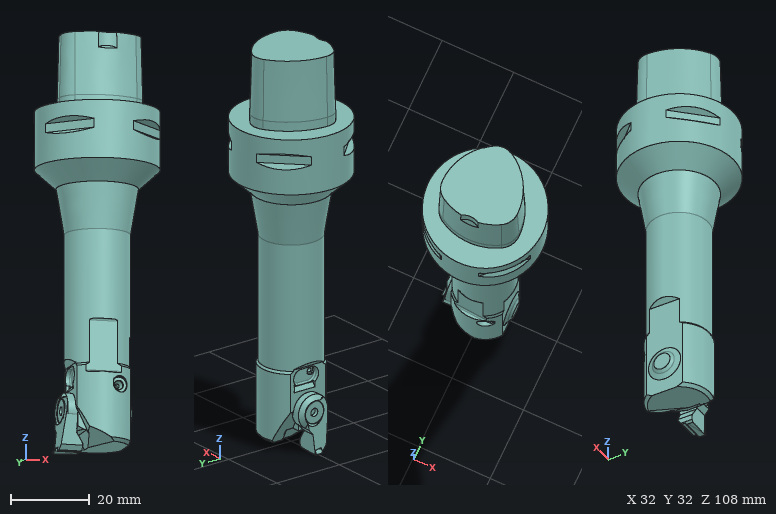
import cadquery as cq
import math


TAPER_LENGTH = 19.0
TAPER_COLLAR = 2.5
LOBE_OFFSET = 6.4
LOBE_RADIUS = 5.4
TAPER_SHRINK = 0.4
NOTCH_RADIUS = 4.9
NOTCH_WALL_Y = -8.9
NOTCH_FLOOR_Z = 14.4
NOTCH_FLOOR_ANGLE = 45

FLANGE_DIAMETER = 32.0
FLANGE_RADIUS = FLANGE_DIAMETER / 2
FLANGE_HEIGHT = 15.0
CONE_HEIGHT = 5.0
CONE_END_RADIUS = 10.5
NECK_HEIGHT = 11.9
SHANK_RADIUS = 17.0 / 2
NECK_TOP_Z = -FLANGE_HEIGHT - CONE_HEIGHT
SHANK_TOP_Z = NECK_TOP_Z - NECK_HEIGHT

GRIP_SLOT_Z = -6.0
GRIP_SLOT_COUNT = 4
GRIP_FLOOR_HEIGHT = 2.3
GRIP_MOUTH_HEIGHT = 4.3
GRIP_FLOOR_DISTANCE = 14.4

HEAD_RADIUS = 9.0
HEAD_TOP_Z = -66.4
HEAD_BEVEL = 0.6
HEAD_BOTTOM_Z = -86.6
HEAD_CHAMFER = 0.9
BACK_FLAT_X = 7.2
BACK_FLAT_TOP_Z = -57.9
SEAT_X = -7.0
SEAT_TOP_Z = -66.1
SIDE_FLAT_DISTANCE = 7.7
SIDE_FLAT_ANGLE = -4
SIDE_FLAT_TOP_Z = -55.1
SIDE_FLAT_BOTTOM_Z = -68.9
SIDE_FLAT_FILLET = 0.4
CUT_SIZE = 43.2

RELIEF_TOP_Z = -77.5
RELIEF_BOTTOM_X = -2.6
LUG_BOTTOM_Z = -83.4
LUG_Y_RANGE = (-5.0, 2.7)
LUG_FACE_X = -6.5
CLEARANCE_HALF_WIDTH = 4.8
CLEARANCE_TOP_X = -4.1
CLEARANCE_BOTTOM_X = -1.9
GULLET_POINT = (-4.2, -7.8, -83.2)
GULLET_NORMAL = (-0.47, -0.2, -0.86)

POCKET_Y = 0.6
POCKET_Z = -68.8
POCKET_LENGTH = 8.0
POCKET_HEIGHT = 4.6
POCKET_DEPTH = 1.5
POCKET_FILLET = 0.4
RAMP_Y_RANGE = (-2.2, 4.4)
RAMP_TOP_Z = -71.2
RAMP_BOTTOM_Z = -72.4
RAMP_DEPTH = 0.9
RAMP_OVERLAP = 0.8
OUTLET_Y = -1.9
OUTLET_Z = -68.4
OUTLET_DIAMETER = 2.2
OUTLET_MOUTH_DEPTH = 0.5
OUTLET_BORE_DIAMETER = 1.1
OUTLET_DEPTH = 3.2
PORT_X = 3.8
PORT_Z = -71.7
PORT_MOUTH_DIAMETER = 4.2
PORT_DIAMETER = 4.0
PORT_BORE_DIAMETER = 2.4
PORT_TIP_DIAMETER = 1.1
PORT_MOUTH_Y = -6.9
PORT_FLOOR_Y = -6.6
PORT_CONE_Y = -6.0
PORT_TIP_Y = -5.0
PORT_END_Y = -3.2

CLAMP_Z = -78.0
DISC_DIAMETER = 9.4
DISC_RADIUS = DISC_DIAMETER / 2
DISC_BEVEL_X = -9.1
DISC_FRONT_X = -10.4
DISC_FRONT_RADIUS = 3.2
COUNTERSINK_X = -9.8
FACE_X = -9.8
FACE_TOP_Z = -74.7
FACE_TILT_Z = 0.11
FACE_TILT_Y = 0.12
LEG_Y = (-3.2, 1.2)
LEG_NARROW_Z = -83.5
LEG_FLARE = (2.5, -82.0)
LEG_CORNER_Z = -87.2
LEG_CORNER_Y = -2.2
LEG_BOTTOM_Z = -88.5
HEEL_TOP_Z = -84.0
HEEL_SHOULDER_Z = -86.7
HEEL_X = -4.8
HEEL_BOTTOM_Z = -88.2
HEEL_BEVEL = 0.5
EDGE_Y = (-1.2, 0.9)
EDGE_BOTTOM_Z = -89.0
EDGE_RISE = 0.3
LIP_ROOT_X = -10.4
LIP_TOP_Z = -87.4
LIP_SHOULDER = (-10.9, -87.7)
LIP_TIP = (-11.7, -88.7)
LIP_HEEL_X = -11.5

SCREW_DIAMETER = 6.0
SCREW_END_X = -9.6
SOCKET_DIAMETER = 2.2
SOCKET_DEPTH = 1.1
SCREW_HEAD_RADIUS = 4.8
SCREW_HEAD_STEP = (7.9, 3.2)
SCREW_HEAD_TOP = (8.5, 2.4)


def box(x_range, y_range, z_range):
    """Axis-aligned block between the given limits."""
    size_x, size_y, size_z = (limits[1] - limits[0] for limits in (x_range, y_range, z_range))
    block = cq.Workplane("XY").box(size_x, size_y, size_z, centered=False)
    return block.translate((x_range[0], y_range[0], z_range[0]))


def half_space(point, outward_normal):
    """Large block on the outer side of a plane."""
    plane = cq.Plane(origin=point, normal=outward_normal)
    return cq.Workplane(plane).rect(CUT_SIZE, CUT_SIZE).extrude(CUT_SIZE)


def rod_x(diameter, x_start, x_end, y, z):
    """Cylinder along X."""
    plane = cq.Workplane("YZ", origin=(x_start, y, z))
    return plane.circle(diameter / 2).extrude(x_end - x_start)


def clamp_revolve(points):
    """Solid of revolution about the clamping axis from (X, radius) points."""
    profile = cq.Workplane("XZ", origin=(0, 0, CLAMP_Z)).polyline(points).close()
    return profile.revolve(360, (0, 0, 0), (1, 0, 0))


def polygon_outline(workplane, lobe_radius):
    """Rounded three-lobed outline: one lobe on +Y, each flank centred on the opposite lobe."""
    flank_radius = lobe_radius + LOBE_OFFSET * math.sqrt(3)

    def arc_point(centre_angle, radius, direction):
        centre = math.radians(centre_angle)
        turn = math.radians(direction)
        return (
            LOBE_OFFSET * math.cos(centre) + radius * math.cos(turn),
            LOBE_OFFSET * math.sin(centre) + radius * math.sin(turn),
        )

    outline = workplane.moveTo(*arc_point(90, lobe_radius, 60))
    for lobe in (90, 210, 330):
        outline = outline.threePointArc(
            arc_point(lobe, lobe_radius, lobe), arc_point(lobe, lobe_radius, lobe + 30)
        )
        opposite = lobe - 120
        outline = outline.threePointArc(
            arc_point(opposite, flank_radius, lobe + 60), arc_point(opposite, flank_radius, lobe + 90)
        )
    return outline.close()


def polygon_taper():
    """Straight collar followed by the taper, with a drive notch at the top."""
    collar = polygon_outline(cq.Workplane("XY"), LOBE_RADIUS).extrude(TAPER_COLLAR)
    lower = polygon_outline(cq.Workplane("XY", origin=(0, 0, TAPER_COLLAR)), LOBE_RADIUS)
    upper = polygon_outline(cq.Workplane("XY", origin=(0, 0, TAPER_LENGTH)), LOBE_RADIUS - TAPER_SHRINK)
    taper = cq.Workplane(cq.Solid.makeLoft([lower.val(), upper.val()], True))
    return collar.union(taper).cut(drive_notch())


def drive_notch():
    """Upright round notch above a floor that slopes down outwards."""
    flank_y = LOBE_OFFSET - LOBE_RADIUS - LOBE_OFFSET * math.sqrt(3)
    slope = math.radians(NOTCH_FLOOR_ANGLE)
    notch = cq.Workplane("XY").center(0, NOTCH_WALL_Y - NOTCH_RADIUS).circle(NOTCH_RADIUS).extrude(CUT_SIZE)
    below_floor = half_space((0, flank_y, NOTCH_FLOOR_Z), (0, math.sin(slope), -math.cos(slope)))
    return notch.cut(below_floor)


def turned_body():
    """Flange, neck, shank and head as one solid of revolution."""
    bevel_end_z = HEAD_TOP_Z - HEAD_BEVEL
    return (
        cq.Workplane("XZ")
        .polyline([
            (0, 0),
            (FLANGE_RADIUS, 0),
            (FLANGE_RADIUS, -FLANGE_HEIGHT),
            (CONE_END_RADIUS, NECK_TOP_Z),
            (SHANK_RADIUS, SHANK_TOP_Z),
            (SHANK_RADIUS, HEAD_TOP_Z),
            (HEAD_RADIUS, bevel_end_z),
            (HEAD_RADIUS, HEAD_BOTTOM_Z + HEAD_CHAMFER),
            (HEAD_RADIUS - HEAD_CHAMFER, HEAD_BOTTOM_Z),
            (0, HEAD_BOTTOM_Z),
        ])
        .close()
        .revolve(360, (0, 0, 0), (0, 1, 0))
    )


def grip_slots():
    """Flared slots spaced evenly around the flange, starting at 45 degrees."""
    floor = GRIP_FLOOR_HEIGHT / 2
    mouth = GRIP_MOUTH_HEIGHT / 2
    slot = (
        cq.Workplane("XZ", origin=(0, 0, GRIP_SLOT_Z))
        .polyline([
            (GRIP_FLOOR_DISTANCE, -floor),
            (FLANGE_RADIUS, -mouth),
            (FLANGE_RADIUS, mouth),
            (GRIP_FLOOR_DISTANCE, floor),
        ])
        .close()
        .extrude(FLANGE_RADIUS, both=True)
    )
    step = 360 / GRIP_SLOT_COUNT
    return [slot.rotate((0, 0, 0), (0, 0, 1), step * (index + 0.5)) for index in range(GRIP_SLOT_COUNT)]


def side_flat():
    """Flat with rounded ends along the shank and the top of the head."""
    flat = box(
        (-CUT_SIZE / 2, CUT_SIZE / 2),
        (-CUT_SIZE, -SIDE_FLAT_DISTANCE),
        (SIDE_FLAT_BOTTOM_Z, SIDE_FLAT_TOP_Z),
    )
    flat = flat.edges("|X and >Y").fillet(SIDE_FLAT_FILLET)
    return flat.rotate((0, 0, 0), (0, 0, 1), SIDE_FLAT_ANGLE)


def flat_cutter(flat_x, top_z, side):
    """Flat along the head, open at the bottom, with a 45 degree run-out at its top."""
    reach = side * CUT_SIZE
    bottom_z = top_z - CUT_SIZE
    return (
        cq.Workplane("XZ")
        .polyline([
            (flat_x, bottom_z),
            (flat_x, top_z),
            (reach, top_z + abs(reach - flat_x)),
            (reach, bottom_z),
        ])
        .close()
        .extrude(CUT_SIZE, both=True)
    )


def seat_relief():
    """Sloping cut below the seat that leaves a lug behind the insert."""
    fall = RELIEF_TOP_Z - HEAD_BOTTOM_Z
    retreat = RELIEF_BOTTOM_X - SEAT_X
    relief = half_space((SEAT_X, 0, RELIEF_TOP_Z), (-fall, 0, -retreat))
    lug = box((LUG_FACE_X, 0), LUG_Y_RANGE, (LUG_BOTTOM_Z, CLAMP_Z))
    return relief.cut(lug)


def clearance_pocket():
    """Pocket below the lug, sloping more than the relief."""
    return (
        cq.Workplane("XZ")
        .polyline([
            (-HEAD_RADIUS, LUG_BOTTOM_Z),
            (CLEARANCE_TOP_X, LUG_BOTTOM_Z),
            (CLEARANCE_BOTTOM_X, HEAD_BOTTOM_Z),
            (-HEAD_RADIUS, HEAD_BOTTOM_Z),
        ])
        .close()
        .extrude(CLEARANCE_HALF_WIDTH, both=True)
    )


def coolant_pocket():
    """Obround pocket with a rounded floor, a ramp below it and a stepped outlet."""
    pocket = (
        cq.Workplane("YZ", origin=(SEAT_X - POCKET_DEPTH, POCKET_Y, POCKET_Z))
        .slot2D(POCKET_LENGTH, POCKET_HEIGHT)
        .extrude(2 * POCKET_DEPTH)
        .faces(">X")
        .edges()
        .fillet(POCKET_FILLET)
    )
    ramp_floor_x = SEAT_X + RAMP_DEPTH
    ramp = (
        cq.Workplane("XZ", origin=(0, RAMP_Y_RANGE[1], 0))
        .polyline([
            (SEAT_X, RAMP_BOTTOM_Z),
            (ramp_floor_x, RAMP_TOP_Z),
            (ramp_floor_x, RAMP_TOP_Z + RAMP_OVERLAP),
            (SEAT_X, RAMP_TOP_Z + RAMP_OVERLAP),
        ])
        .close()
        .extrude(RAMP_Y_RANGE[1] - RAMP_Y_RANGE[0])
    )
    floor_x = SEAT_X + POCKET_DEPTH
    mouth = rod_x(OUTLET_DIAMETER, SEAT_X, floor_x + OUTLET_MOUTH_DEPTH, OUTLET_Y, OUTLET_Z)
    bore = rod_x(OUTLET_BORE_DIAMETER, floor_x, floor_x + OUTLET_DEPTH, OUTLET_Y, OUTLET_Z)
    return pocket.union(ramp).union(mouth).union(bore)


def coolant_port():
    """Stepped round port, narrowed by a cone, that opens on the -Y side of the head."""
    profile = [
        (0, -HEAD_RADIUS),
        (PORT_MOUTH_DIAMETER / 2, -HEAD_RADIUS),
        (PORT_MOUTH_DIAMETER / 2, PORT_MOUTH_Y),
        (PORT_DIAMETER / 2, PORT_FLOOR_Y),
        (PORT_BORE_DIAMETER / 2, PORT_FLOOR_Y),
        (PORT_BORE_DIAMETER / 2, PORT_CONE_Y),
        (PORT_TIP_DIAMETER / 2, PORT_TIP_Y),
        (PORT_TIP_DIAMETER / 2, PORT_END_Y),
        (0, PORT_END_Y),
    ]
    port = cq.Workplane("XY").polyline(profile).close().revolve(360, (0, 0, 0), (0, 1, 0))
    return port.translate((PORT_X, 0, PORT_Z))


def make_holder():
    holder = turned_body().union(polygon_taper())
    for slot in grip_slots():
        holder = holder.cut(slot)
    holder = holder.cut(side_flat())
    back_flat_z = BACK_FLAT_TOP_Z - (SHANK_RADIUS - BACK_FLAT_X)
    holder = holder.cut(flat_cutter(BACK_FLAT_X, back_flat_z, 1))
    holder = holder.cut(flat_cutter(SEAT_X, SEAT_TOP_Z, -1))
    holder = holder.cut(seat_relief())
    holder = holder.cut(clearance_pocket())
    holder = holder.cut(half_space(GULLET_POINT, GULLET_NORMAL))
    holder = holder.cut(coolant_pocket())
    holder = holder.cut(coolant_port())
    disc_recess = rod_x(DISC_DIAMETER, -CUT_SIZE, LUG_FACE_X, 0, CLAMP_Z)
    clamp_bore = rod_x(SCREW_DIAMETER, -CUT_SIZE, CUT_SIZE, 0, CLAMP_Z)
    return holder.cut(disc_recess).cut(clamp_bore)


def leg_outline():
    """Leg outline along Y and Z, extended along X."""
    return (
        cq.Workplane("YZ")
        .polyline([
            (-DISC_RADIUS, CLAMP_Z),
            (LEG_Y[0], LEG_CORNER_Z),
            (LEG_CORNER_Y, LEG_BOTTOM_Z),
            (EDGE_Y[0], LEG_BOTTOM_Z),
            (EDGE_Y[0], EDGE_BOTTOM_Z + EDGE_RISE),
            (EDGE_Y[1], EDGE_BOTTOM_Z),
            (LEG_Y[1], LEG_NARROW_Z),
            LEG_FLARE,
            (LEG_FLARE[0], CLAMP_Z),
        ])
        .close()
        .extrude(CUT_SIZE, both=True)
    )


def leg_thickness():
    """Leg thickness along X: plain at the back, then the heel and its bevelled underside."""
    return (
        cq.Workplane("XZ")
        .polyline([
            (-CUT_SIZE, CLAMP_Z),
            (LUG_FACE_X, CLAMP_Z),
            (LUG_FACE_X, HEEL_TOP_Z),
            (HEEL_X, HEEL_SHOULDER_Z),
            (HEEL_X, HEEL_BOTTOM_Z),
            (HEEL_X - HEEL_BEVEL, HEEL_BOTTOM_Z - HEEL_BEVEL),
            (LIP_ROOT_X, EDGE_BOTTOM_Z),
            (-CUT_SIZE, EDGE_BOTTOM_Z),
        ])
        .close()
        .extrude(CUT_SIZE, both=True)
    )


def edge_lip():
    return (
        cq.Workplane("XZ", origin=(0, EDGE_Y[1], 0))
        .polyline([
            (LIP_ROOT_X, LIP_TOP_Z),
            LIP_SHOULDER,
            LIP_TIP,
            (LIP_HEEL_X, EDGE_BOTTOM_Z),
            (LIP_ROOT_X, EDGE_BOTTOM_Z),
        ])
        .close()
        .extrude(EDGE_Y[1] - EDGE_Y[0])
    )


def make_insert():
    """Disc with a leg; the leg's front face runs on across the -Y side of the disc."""
    disc = clamp_revolve([
        (LUG_FACE_X, 0),
        (LUG_FACE_X, DISC_RADIUS),
        (DISC_BEVEL_X, DISC_RADIUS),
        (DISC_FRONT_X, DISC_FRONT_RADIUS),
        (DISC_FRONT_X, 0),
    ])
    ahead_of_face = half_space((FACE_X, 0, CLAMP_Z), (-1, -FACE_TILT_Y, FACE_TILT_Z))
    disc_side = box((-CUT_SIZE, 0), (-CUT_SIZE, 0), (FACE_TOP_Z - CUT_SIZE, FACE_TOP_Z))
    disc = disc.cut(ahead_of_face.intersect(disc_side))
    outline = leg_outline()
    leg = outline.intersect(leg_thickness()).cut(ahead_of_face)
    lip = edge_lip().intersect(outline)
    return disc.union(leg).union(lip).cut(screw_seat())


def screw_seat():
    """Bore for the screw with a 45 degree countersink at its front."""
    radius = SCREW_DIAMETER / 2
    flare = COUNTERSINK_X - LIP_TIP[0]
    return clamp_revolve([
        (0, 0),
        (0, radius),
        (COUNTERSINK_X, radius),
        (LIP_TIP[0], radius + flare),
        (LIP_TIP[0], 0),
    ])


def make_screw():
    radius = SCREW_DIAMETER / 2
    screw = clamp_revolve([
        (SCREW_END_X, 0),
        (SCREW_END_X, radius),
        (BACK_FLAT_X, radius),
        (BACK_FLAT_X, SCREW_HEAD_RADIUS),
        SCREW_HEAD_STEP,
        SCREW_HEAD_TOP,
        (SCREW_HEAD_TOP[0], 0),
    ])
    socket = rod_x(SOCKET_DIAMETER, SCREW_END_X, SCREW_END_X + SOCKET_DEPTH, 0, CLAMP_Z)
    return screw.cut(socket)


holder = make_holder()
insert = make_insert()
screw = make_screw()

result = cq.Compound.makeCompound([holder.solids().val(), insert.solids().val(), screw.solids().val()])